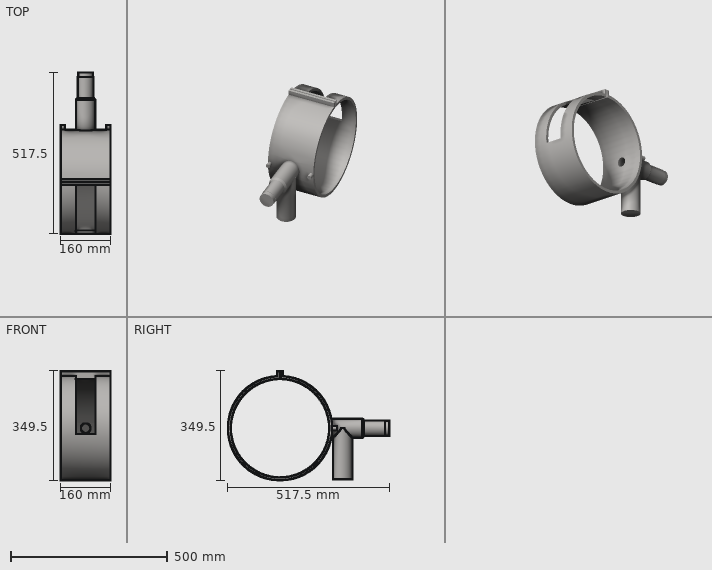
import cadquery as cq

ring_radius = 167.0
ring_wall = 10.0
ring_width = 160.0
bore_radius = ring_radius - ring_wall

lug_top = 182.5
lug_outer_y = 10.0
split_gap = 3.0

window_width = 62.0
window_floor = -18.0

peg_radius = 7.0
peg_length = 15.5
peg_x = ring_width / 2 - peg_radius

pipe_tip_y = 517.5 - ring_radius
pipe_radius = 31.0
spigot_radius = 25.5
tip_radius = 24.5
tip_length = 14.5
spigot_length = 67.0
taper_length = 6.0

branch_radius = 31.5
branch_y = 201.0
branch_bottom = -164.0

port_radius = 15.5
port_end_y = branch_y


def cylinder_x(radius, length):
    """Cylinder along X, centred on the origin."""
    return cq.Workplane("YZ").circle(radius).extrude(length).translate((-length / 2, 0, 0))


def cylinder_y(radius, end_y, x=0):
    """Cylinder along Y from the ring axis back to end_y."""
    return cq.Workplane("XZ").center(x, 0).circle(radius).extrude(-end_y)


def make_lugs():
    """Solid block that the split divides into two lugs."""
    return cq.Workplane("XY").box(ring_width, 2 * lug_outer_y, lug_top, centered=(True, True, False))


def make_split():
    """Slot between the lugs and through the top of the ring wall."""
    return cq.Workplane("XY").box(ring_width, split_gap, lug_top, centered=(True, True, False))


def make_window():
    """Opening from the window floor up to the front face of the lugs."""
    return cq.Workplane("XY", origin=(0, -lug_outer_y - ring_radius, window_floor)).box(
        window_width, ring_radius, ring_radius - window_floor, centered=(True, False, False)
    )


def make_pipe():
    """Solid pipe that tapers to a spigot with a slightly thinner tip."""
    spigot_end = pipe_tip_y - tip_length
    taper_end = spigot_end - spigot_length
    taper_start = taper_end - taper_length
    return (
        cq.Workplane("XY")
        .lineTo(pipe_radius, 0)
        .lineTo(pipe_radius, taper_start)
        .lineTo(spigot_radius, taper_end)
        .lineTo(spigot_radius, spigot_end)
        .lineTo(tip_radius, spigot_end)
        .lineTo(tip_radius, pipe_tip_y)
        .lineTo(0, pipe_tip_y)
        .close()
        .revolve(360, (0, 0, 0), (0, 1, 0))
    )


def make_clamp():
    """Ring with lugs, pegs and stepped pipe as one solid."""
    clamp = cylinder_x(ring_radius, ring_width).union(make_lugs()).union(make_pipe())
    for side in (-1, 1):
        clamp = clamp.union(cylinder_y(peg_radius, ring_radius + peg_length, side * peg_x))
    clamp = clamp.cut(cylinder_x(bore_radius, ring_width))
    port = cylinder_y(port_radius, port_end_y)
    return clamp.cut(make_split()).cut(make_window()).cut(port)


def make_branch():
    """Vertical leg with its upper end coped to fit under the pipe."""
    leg = cq.Workplane("XY").center(0, branch_y).circle(branch_radius).extrude(branch_bottom)
    return leg.cut(cylinder_y(pipe_radius, pipe_tip_y))


clamp = make_clamp()
branch = make_branch()

result = cq.Compound.makeCompound([clamp.val(), branch.val()])